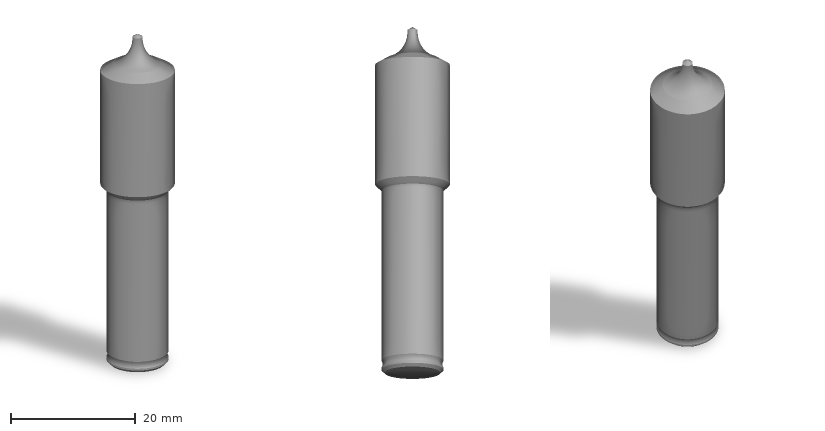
import cadquery as cq
import math

total_length = 56.9

shank_radius = 5.0
end_chamfer = 0.5

groove_depth = 0.2
groove_bottom_edge_z = 0.8
groove_top_edge_z = 2.0
groove_root_z = 1.45
groove_root_radius = shank_radius - groove_depth

head_radius = 6.0
shoulder_z = 30.0
shoulder_height = head_radius - shank_radius

pilot_radius = 0.825
pilot_base_z = 56.05
flare_radius = 4.45
flare_base_radius = 4.0
cone_angle = 30.0

flare_center_radius = pilot_radius + flare_radius


def flare_point(angle_degrees):
    """Point on the flare arc, measured downward from its vertical tangent."""
    angle = math.radians(angle_degrees)
    return (
        flare_center_radius - flare_radius * math.cos(angle),
        pilot_base_z - flare_radius * math.sin(angle),
    )


def groove_wall_middle(edge_z):
    """Middle of the groove wall arc that is vertical at the root and ends at edge_z."""
    height = edge_z - groove_root_z
    wall_radius = (height**2 + groove_depth**2) / (2 * groove_depth)
    half_angle = math.asin(height / wall_radius) / 2
    return (
        groove_root_radius + wall_radius * (1 - math.cos(half_angle)),
        groove_root_z + wall_radius * math.sin(half_angle),
    )


def cone_height(large_radius, small_radius=0.0):
    """Axial height of a nose cone between two radii."""
    return (large_radius - small_radius) * math.tan(math.radians(cone_angle))


flare_angle = math.degrees(math.acos((flare_center_radius - flare_base_radius) / flare_radius))
flare_base_z = flare_point(flare_angle)[1]
head_top_z = flare_base_z - cone_height(head_radius, flare_base_radius)
point_base_z = total_length - cone_height(pilot_radius)


def half_profile():
    """Closed half section in the XZ plane, from the lower end up to the point."""
    return (
        cq.Workplane("XZ")
        .moveTo(0, 0)
        .lineTo(shank_radius - end_chamfer, 0)
        .lineTo(shank_radius, end_chamfer)
        .lineTo(shank_radius, groove_bottom_edge_z)
        .threePointArc(groove_wall_middle(groove_bottom_edge_z), (groove_root_radius, groove_root_z))
        .threePointArc(groove_wall_middle(groove_top_edge_z), (shank_radius, groove_top_edge_z))
        .lineTo(shank_radius, shoulder_z)
        .lineTo(head_radius, shoulder_z + shoulder_height)
        .lineTo(head_radius, head_top_z)
        .lineTo(flare_base_radius, flare_base_z)
        .threePointArc(flare_point(flare_angle / 2), (pilot_radius, pilot_base_z))
        .lineTo(pilot_radius, point_base_z)
        .lineTo(0, total_length)
        .close()
    )


result = half_profile().revolve(360, (0, 0, 0), (0, 1, 0))